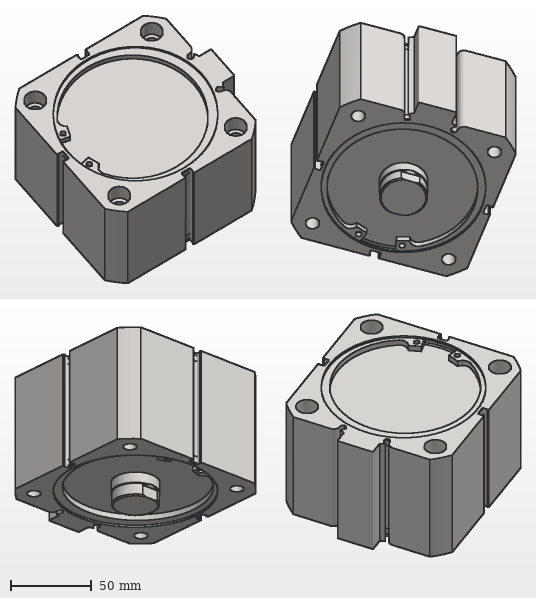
import cadquery as cq
import math

overall_depth = 124.0
housing_width = 115.0
housing_height = 76.6
half_width = housing_width / 2
corner_radius = 74.4

bore_radius = 50.8
groove_radius = 52.8
groove_inset = 1.4
head_groove_width = 4.0
rod_groove_width = 4.5
ring_thickness = 4.0

bolt_offset = 44.4
bolt_hole_diameter = 8.5
counterbore_diameter = 13.8
counterbore_depth = 12.4

slot_depth = 4.5
slot_half_width = 3.3
slot_mouth_half_width = 2.7
slot_lip_depth = 1.0
slot_mouth_chamfer = 0.5
slot_floor_fillet = 0.6

rail_width = 24.7
rail_top = overall_depth - half_width
rail_edge_fillet = 0.5
rail_tip_x = 15.6
rail_tip_drop = 1.5
pocket_x = 15.3
pocket_radius = 2.0
pocket_depth = 4.7
pocket_flare_radius = 4.3

ring_inner_radius = 46.6
ring_inner_shift = 2.2
ring_twist = -0.8
ear_hole_diameter = 3.6
ear_hole_x = 14.1
ear_hole_y = -44.8
ear_tip_x = 9.7
ear_tip_y = -42.3
ear_shoulder_x = 17.2
ear_shoulder_y = -39.5
ear_hollow_x = 20.8
ear_hollow_y = -42.3
ear_root_x = 25.3

head_cover_thickness = 12.4
rod_cover_thickness = 17.4
piston_thickness = 24.8

rod_collar_radius = 15.1
rod_collar_length = 1.2
rod_radius = 14.8
rod_reach = 9.9
rod_end_chamfer = 0.9
flat_offset = 13.5
flat_start = 2.6

head_groove_top = housing_height - groove_inset
head_cover_top = head_groove_top - head_groove_width
rod_cover_bottom = groove_inset + rod_groove_width
rod_cover_top = rod_cover_bottom + rod_cover_thickness
rod_ring_bottom = rod_cover_bottom - ring_thickness


def disc(radius, bottom, height):
    return cq.Workplane("XY").workplane(offset=bottom).circle(radius).extrude(height)


def turned_block():
    block = cq.Workplane("XY").rect(housing_width, housing_width).extrude(housing_height)
    return block.intersect(disc(corner_radius, 0, housing_height))


def sensor_slot():
    """Undercut slot in the -Y face with chamfered mouth edges and a rounded floor."""
    face = -half_width
    half_outline = [
        (slot_mouth_half_width + slot_mouth_chamfer, face),
        (slot_mouth_half_width, face + slot_mouth_chamfer),
        (slot_mouth_half_width, face + slot_lip_depth),
        (slot_half_width, face + slot_lip_depth),
        (slot_half_width, face + slot_depth),
    ]
    mirrored = [(-x, y) for x, y in reversed(half_outline)]
    slot = cq.Workplane("XY").polyline(half_outline + mirrored).close().extrude(housing_height)
    return slot.edges("|Z and >Y").fillet(slot_floor_fillet)


def rail():
    """Rail that runs the full height of the +Y face."""
    depth = rail_top - half_width
    block = cq.Workplane("XY").box(rail_width, depth, housing_height, centered=(True, False, False))
    return block.translate((0, half_width, 0)).edges("|Z and >Y").fillet(rail_edge_fillet)


def rail_pocket():
    """Pocket on the +X side of the rail: barbed inner wall, round bottom, flared outer wall."""
    centre_y = half_width - pocket_depth
    outer_x = pocket_x + pocket_radius
    flare_y = half_width - pocket_flare_radius
    diagonal = math.sqrt(0.5)
    flare_mid = (
        outer_x + pocket_flare_radius * (1 - diagonal),
        flare_y + pocket_flare_radius * diagonal,
    )
    inner_wall = (pocket_x - pocket_radius * diagonal, centre_y + pocket_radius * diagonal)
    return (
        cq.Workplane("XY")
        .moveTo(rail_width / 2, half_width)
        .lineTo(rail_tip_x, half_width - rail_tip_drop)
        .lineTo(*inner_wall)
        .threePointArc((pocket_x, centre_y - pocket_radius), (outer_x, centre_y))
        .lineTo(outer_x, flare_y)
        .threePointArc(flare_mid, (outer_x + pocket_flare_radius, half_width))
        .close()
        .extrude(housing_height)
    )


def make_housing():
    body = turned_block().union(rail())
    for angle in (-90, 0, 90):
        body = body.cut(sensor_slot().rotate((0, 0, 0), (0, 0, 1), angle))
    pocket = rail_pocket()
    body = body.cut(pocket).cut(pocket.mirror("YZ"))
    body = body.cut(disc(bore_radius, 0, housing_height))
    body = body.cut(disc(groove_radius, head_cover_top, head_groove_width))
    body = body.cut(disc(groove_radius, groove_inset, rod_groove_width))
    return (
        body.faces(">Z")
        .workplane(origin=(0, 0, housing_height))
        .rect(2 * bolt_offset, 2 * bolt_offset, forConstruction=True)
        .vertices()
        .cboreHole(bolt_hole_diameter, counterbore_diameter, counterbore_depth)
    )


def make_retaining_ring(bottom):
    """Tapered ring, open towards -Y, with a pierced ear on each side of the gap."""
    root_y = -ring_inner_shift - math.sqrt(ring_inner_radius**2 - ear_root_x**2)
    stretch = groove_radius / math.hypot(ear_tip_x, ear_tip_y)
    gap_x = ear_tip_x * stretch
    gap_y = ear_tip_y * stretch
    return (
        cq.Workplane("XY")
        .workplane(offset=bottom)
        .moveTo(gap_x, gap_y)
        .lineTo(ear_tip_x, ear_tip_y)
        .lineTo(ear_shoulder_x, ear_shoulder_y)
        .threePointArc((ear_hollow_x, ear_hollow_y), (ear_root_x, root_y))
        .threePointArc((0, ring_inner_radius - ring_inner_shift), (-ear_root_x, root_y))
        .threePointArc((-ear_hollow_x, ear_hollow_y), (-ear_shoulder_x, ear_shoulder_y))
        .lineTo(-ear_tip_x, ear_tip_y)
        .lineTo(-gap_x, gap_y)
        .threePointArc((0, groove_radius), (gap_x, gap_y))
        .close()
        .extrude(ring_thickness)
        .cut(
            cq.Workplane("XY")
            .workplane(offset=bottom)
            .pushPoints([(-ear_hole_x, ear_hole_y), (ear_hole_x, ear_hole_y)])
            .circle(ear_hole_diameter / 2)
            .extrude(ring_thickness)
        )
    )


def make_head_cover():
    return disc(bore_radius, head_cover_top - head_cover_thickness, head_cover_thickness)


def make_rod_cover():
    cover = disc(bore_radius, rod_cover_bottom, rod_cover_thickness)
    return cover.cut(disc(rod_collar_radius, rod_cover_bottom, rod_cover_thickness))


def flat_cutter():
    """Removes one wrench flat on the +Y side, with a 45 degree run-out at its upper end."""
    run_out = rod_collar_radius - flat_offset
    outline = [
        (flat_offset, -rod_reach),
        (flat_offset, -flat_start),
        (flat_offset + run_out, -flat_start + run_out),
        (flat_offset + run_out, -rod_reach),
    ]
    profile = cq.Workplane("YZ").polyline(outline).close()
    return profile.extrude(rod_collar_radius, both=True)


def make_piston_rod():
    piston_top = rod_cover_top + piston_thickness
    cone_end = -rod_collar_length - (rod_collar_radius - rod_radius)
    half_profile = [
        (0, -rod_reach),
        (rod_radius - rod_end_chamfer, -rod_reach),
        (rod_radius, -rod_reach + rod_end_chamfer),
        (rod_radius, cone_end),
        (rod_collar_radius, -rod_collar_length),
        (rod_collar_radius, rod_cover_top),
        (bore_radius, rod_cover_top),
        (bore_radius, piston_top),
        (0, piston_top),
    ]
    rod = cq.Workplane("XZ").polyline(half_profile).close().revolve(360, (0, 0, 0), (0, 1, 0))
    cutter = flat_cutter()
    return rod.cut(cutter).cut(cutter.mirror("XZ"))


housing = make_housing()
head_ring_twisted = make_retaining_ring(head_cover_top).rotate((0, 0, 0), (0, 0, 1), ring_twist)
rings = [head_ring_twisted, make_retaining_ring(rod_ring_bottom)]
head_cover = make_head_cover()
rod_cover = make_rod_cover()
piston_rod = make_piston_rod()

result = cq.Compound.makeCompound(
    [housing.val(), *[ring.val() for ring in rings], head_cover.val(), rod_cover.val(), piston_rod.val()]
)